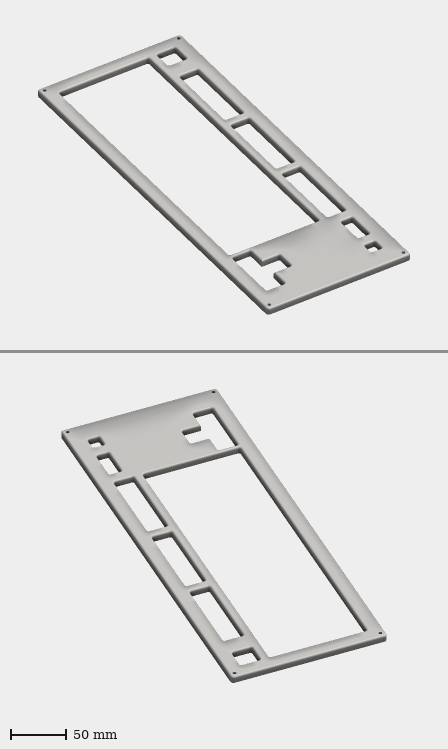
import cadquery as cq
length = 387.0
width = 153.5
thickness = 7.0
plate_corner_radius = 3.0
window_corner_radius = 2.0
rim_radius = 2.0
cutter_height = 2 * thickness

screw_diameter = 3.4
screw_inset = 5.0

main_columns = 15
main_rows = 5
key_pitch = 285.5 / main_columns
clearance = 0.8
grid_left = -179.2
grid_bottom = -62.0
function_row = main_rows + 0.5
function_group_starts = (2, 6.5, 11)
function_group_columns = 4
arrow_column = main_columns + 0.26

display_x = 133.0
display_y = 55.5
display_length = 29.5
display_height = 12.5

knob_x = 165.5
knob_y = 54.0
knob_length = 12.5
knob_height = 11.5


def block(x, y, size_x, size_y):
    """Sharp rectangular cutter centred on (x, y)."""
    return cq.Workplane("XY").center(x, y).rect(size_x, size_y).extrude(cutter_height)


def key_block(column, row, columns, rows):
    """Sharp cutter for a block of keys, given in key pitches."""
    x = grid_left + (column + columns / 2) * key_pitch
    y = grid_bottom + (row + rows / 2) * key_pitch
    return block(x, y, columns * key_pitch + clearance, rows * key_pitch + clearance)


def rounded(cutter):
    """The cutter with its upright edges rounded."""
    return cutter.edges("|Z").fillet(window_corner_radius)


def arrow_window():
    """Row of three keys with one key above the middle; the two inward corners stay sharp."""
    bottom_row = rounded(key_block(arrow_column, 0, 3, 1))
    middle_column = rounded(key_block(arrow_column + 1, 0, 1, 2))
    return bottom_row.union(middle_column)


windows = [
    rounded(key_block(0, 0, main_columns, main_rows)),
    rounded(key_block(0, function_row, 1, 1)),
    arrow_window(),
    rounded(block(display_x, display_y, display_length, display_height)),
    rounded(block(knob_x, knob_y, knob_length, knob_height)),
]
for start in function_group_starts:
    windows.append(rounded(key_block(start, function_row, function_group_columns, 1)))

plate = cq.Workplane("XY").box(length, width, thickness, centered=(True, True, False))
plate = plate.edges("|Z").fillet(plate_corner_radius)
for window in windows:
    plate = plate.cut(window)
plate = plate.faces(">Z").edges().fillet(rim_radius)

screw_holes = (
    cq.Workplane("XY")
    .rect(length - 2 * screw_inset, width - 2 * screw_inset, forConstruction=True)
    .vertices()
    .circle(screw_diameter / 2)
    .extrude(cutter_height)
)
result = plate.cut(screw_holes)